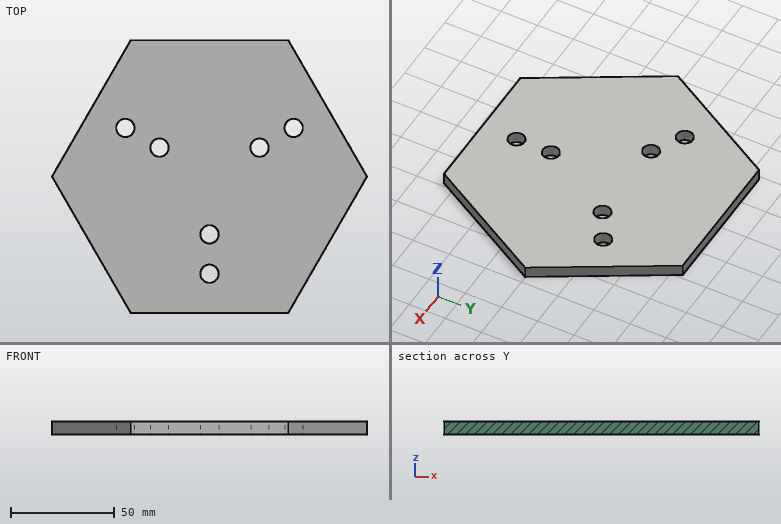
import cadquery as cq

side_count = 6
width_across_corners = 152.4
thickness = 6.35

hole_diameter = 8.73
inner_hole_radius = 27.94
hole_spacing = 19.05
outer_hole_radius = inner_hole_radius + hole_spacing
line_count = 3
first_line_angle = 30
full_turn = 360


def hexagonal_plate():
    """Regular hexagon, centred on the Z axis with its bottom at Z = 0."""
    return cq.Workplane("XY").polygon(side_count, width_across_corners).extrude(thickness)


def ring_of_holes(ring_radius):
    """Cutting cylinders, one on each radial line."""
    return (
        cq.Workplane("XY")
        .polarArray(ring_radius, first_line_angle, full_turn, line_count)
        .circle(hole_diameter / 2)
        .extrude(thickness)
    )


result = hexagonal_plate()
for ring_radius in (inner_hole_radius, outer_hole_radius):
    result = result.cut(ring_of_holes(ring_radius))